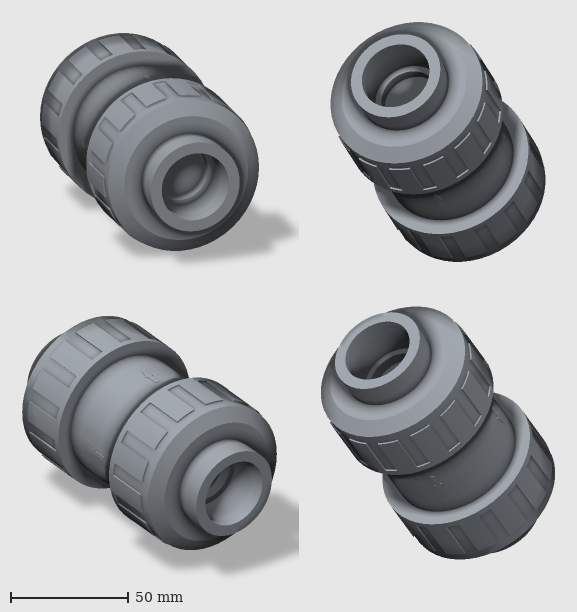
import cadquery as cq
import math


HALF_LENGTH = 61.5
NUT_INNER_FACE = 18.45
NUT_OUTER_FACE = 49.4
NUT_CHAMFER_START = 45.75
GRIP_INNER_END = 21.3
GRIP_OUTER_END = 41.0

BODY_RADIUS = 28.1
NUT_OUTER_RADIUS = 34.75
GROOVE_DEPTH = 0.75
NUT_BASE_RADIUS = NUT_OUTER_RADIUS - GROOVE_DEPTH
NUT_FACE_RADIUS = 27.85
PIPE_RADIUS = 20.0
SOCKET_RADIUS = 15.1
PORT_RADIUS = 12.5

SOCKET_DEPTH = 20.0
PORT_DEPTH = 5.0

GRIP_COUNT = 14
GRIP_PITCH = 360.0 / GRIP_COUNT
GROOVE_ANGLE = 10.0
FIRST_GROOVE = -0.3 * GRIP_PITCH

ARROW_COUNT = 4
ARROW_HALF_LENGTH = 5.8
ARROW_SHAFT_WIDTH = 1.9
ARROW_HEAD_WIDTH = 3.6
ARROW_HEIGHT = 0.3


def cylinder(radius, start, end):
    """Solid cylinder on the X axis between two X positions."""
    return cq.Workplane("YZ", origin=(start, 0, 0)).circle(radius).extrude(end - start)


def make_turned_end():
    """Smooth base of the +X nut, with its chamfer, and the pipe end that leaves it."""
    outline = [
        (NUT_INNER_FACE, 0),
        (NUT_INNER_FACE, NUT_BASE_RADIUS),
        (NUT_CHAMFER_START, NUT_BASE_RADIUS),
        (NUT_OUTER_FACE, NUT_FACE_RADIUS),
        (NUT_OUTER_FACE, PIPE_RADIUS),
        (HALF_LENGTH, PIPE_RADIUS),
        (HALF_LENGTH, 0),
    ]
    return cq.Workplane("XY").polyline(outline).close().revolve(360, (0, 0, 0), (1, 0, 0))


def make_groove():
    """Ring sector, centred on -Y, that parts two grip lands."""
    half_angle = math.radians(GROOVE_ANGLE / 2)
    inner_radius = NUT_BASE_RADIUS - GROOVE_DEPTH
    outer_radius = NUT_OUTER_RADIUS + GROOVE_DEPTH

    def at(radius, angle):
        return (-radius * math.cos(angle), radius * math.sin(angle))

    return (
        cq.Workplane("YZ", origin=(GRIP_INNER_END, 0, 0))
        .moveTo(*at(inner_radius, -half_angle))
        .threePointArc(at(inner_radius, 0), at(inner_radius, half_angle))
        .lineTo(*at(outer_radius, half_angle))
        .threePointArc(at(outer_radius, 0), at(outer_radius, -half_angle))
        .close()
        .extrude(GRIP_OUTER_END - GRIP_INNER_END)
    )


def make_grip():
    """Inner rim of the +X nut with the grip lands, which reach below the nut base."""
    grip = cylinder(NUT_OUTER_RADIUS, NUT_INNER_FACE, GRIP_OUTER_END)
    groove = make_groove()
    for index in range(GRIP_COUNT):
        angle = FIRST_GROOVE + index * GRIP_PITCH
        grip = grip.cut(groove.rotate((0, 0, 0), (1, 0, 0), angle))
    return grip


def make_nut_and_pipe_end():
    """Complete +X end, still without its bore."""
    return make_grip().union(make_turned_end())


def make_arrow():
    """Flow arrow on the +Z side, following the curve of the body."""
    half_shaft = ARROW_SHAFT_WIDTH / 2
    half_head = ARROW_HEAD_WIDTH / 2
    prism = (
        cq.Workplane("XY")
        .polyline(
            [
                (-ARROW_HALF_LENGTH, -half_shaft),
                (0, -half_shaft),
                (0, -half_head),
                (ARROW_HALF_LENGTH, 0),
                (0, half_head),
                (0, half_shaft),
                (-ARROW_HALF_LENGTH, half_shaft),
            ]
        )
        .close()
        .extrude(NUT_OUTER_RADIUS)
    )
    arrow_surface = cylinder(BODY_RADIUS + ARROW_HEIGHT, -NUT_INNER_FACE, NUT_INNER_FACE)
    return prism.intersect(arrow_surface)


def make_bore():
    """Socket and narrower port that enter the +X end."""
    socket_floor = HALF_LENGTH - SOCKET_DEPTH
    socket = cylinder(SOCKET_RADIUS, socket_floor, HALF_LENGTH)
    port = cylinder(PORT_RADIUS, socket_floor - PORT_DEPTH, HALF_LENGTH)
    return socket.union(port)


def make_body():
    """Central barrel with the flow arrows spaced evenly around it."""
    body = cylinder(BODY_RADIUS, -NUT_INNER_FACE, NUT_INNER_FACE)
    arrow = make_arrow()
    for index in range(ARROW_COUNT):
        body = body.union(arrow.rotate((0, 0, 0), (1, 0, 0), index * 360 / ARROW_COUNT))
    return body


right_end = make_nut_and_pipe_end().cut(make_bore())
left_end = right_end.rotate((0, 0, 0), (0, 0, 1), 180)
result = make_body().union(right_end).union(left_end)